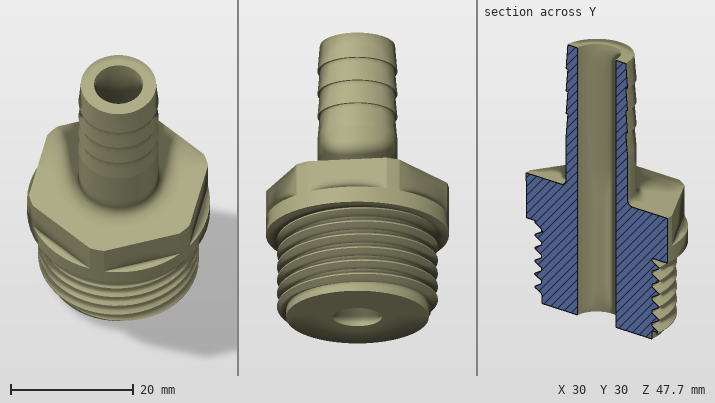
import cadquery as cq
import math

total_height = 47.7
thread_start = 1.5
flange_bottom = 14.4
flange_top = 17.1
hex_top = 22.45
barb_height = 4.0
barb_count = 4
top_barb_height = 4.45

bore_diameter = 8.0
shank_diameter = 13.1
barb_small_diameter = 12.35
flange_diameter = 30.0
hex_across_flats = 27.1
shank_fillet = 1.0

thread_root_diameter = 23.4
thread_crest_diameter = 26.4
thread_turns = 5.6
thread_base_width = 1.8
thread_crest_width = 0.2
root_overlap = 0.25
seam_angle = 90

thread_length = flange_bottom - thread_start
thread_pitch = thread_length / thread_turns


def make_core():
    """Plain cylinder under the thread."""
    core = cq.Workplane("XY").circle(thread_root_diameter / 2).extrude(flange_bottom)
    return core.rotate((0, 0, 0), (0, 0, 1), seam_angle)


def make_thread():
    """Helical ridge, trimmed flat at the pilot and at the flange."""
    root_radius = thread_root_diameter / 2
    crest_radius = thread_crest_diameter / 2
    inner_radius = root_radius - root_overlap
    flank_slope = (thread_base_width - thread_crest_width) / 2 / (crest_radius - root_radius)
    half_crest = thread_crest_width / 2
    half_inner = half_crest + flank_slope * (crest_radius - inner_radius)

    helix_start = thread_start - thread_pitch
    helix_height = thread_length + 2 * thread_pitch
    helix = cq.Wire.makeHelix(thread_pitch, helix_height, root_radius)
    ridge = (
        cq.Workplane("XZ")
        .polyline([
            (inner_radius, -half_inner),
            (crest_radius, -half_crest),
            (crest_radius, half_crest),
            (inner_radius, half_inner),
        ])
        .close()
        .sweep(helix, isFrenet=True)
        .translate((0, 0, helix_start))
    )
    thread_zone = (
        cq.Workplane("XY")
        .workplane(offset=thread_start)
        .circle(flange_diameter / 2)
        .extrude(thread_length)
    )
    return ridge.intersect(thread_zone)


def make_flange_and_hex():
    """Round flange below a hexagon whose corners are rounded to the flange diameter."""
    flange = (
        cq.Workplane("XY")
        .workplane(offset=flange_bottom)
        .circle(flange_diameter / 2)
        .extrude(hex_top - flange_bottom)
    )
    hex_across_corners = hex_across_flats / math.cos(math.pi / 6)
    wrench_flats = (
        cq.Workplane("XY")
        .workplane(offset=flange_top)
        .circle(flange_diameter)
        .polygon(6, hex_across_corners)
        .extrude(hex_top - flange_top)
    )
    return flange.cut(wrench_flats)


def make_hose_tail():
    """Revolved shank with a filleted foot and a stack of tapered barbs."""
    shank_radius = shank_diameter / 2
    barb_small_radius = barb_small_diameter / 2
    shank_top = total_height - top_barb_height - (barb_count - 1) * barb_height
    fillet_bend = shank_fillet * (1 - math.sqrt(0.5))

    profile = (
        cq.Workplane("XZ")
        .moveTo(0, hex_top)
        .lineTo(shank_radius + shank_fillet, hex_top)
        .threePointArc(
            (shank_radius + fillet_bend, hex_top + fillet_bend),
            (shank_radius, hex_top + shank_fillet),
        )
    )
    for barb in range(barb_count):
        barb_bottom = shank_top + barb * barb_height
        is_top_barb = barb == barb_count - 1
        barb_top = total_height if is_top_barb else barb_bottom + barb_height
        profile = profile.lineTo(shank_radius, barb_bottom)
        profile = profile.lineTo(barb_small_radius, barb_top)
    return profile.lineTo(0, total_height).close().revolve(360, (0, 0), (0, 1))


bore = cq.Workplane("XY").circle(bore_diameter / 2).extrude(total_height)

result = (
    make_core()
    .union(make_thread())
    .union(make_flange_and_hex())
    .union(make_hose_tail())
    .cut(bore)
)